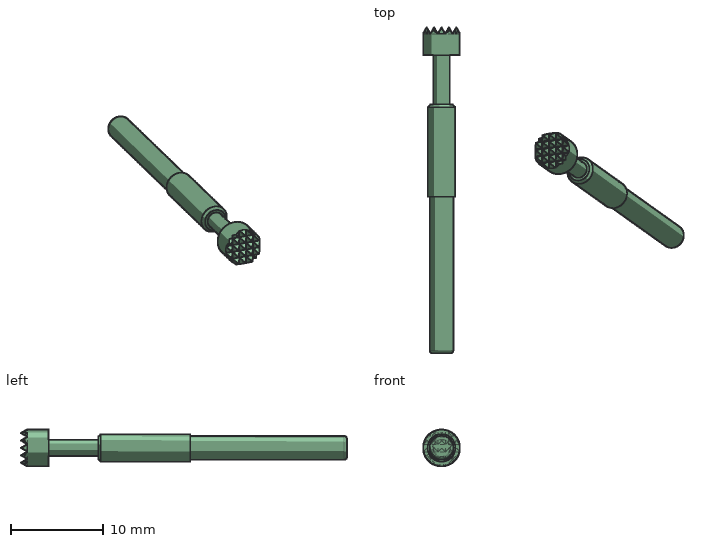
import cadquery as cq
import math


tail_diameter = 2.6
tail_length = 16.95
tail_end_radius = 0.35

sleeve_diameter = 3.0
sleeve_length = 10.0
sleeve_chamfer = 0.3

plunger_diameter = 1.8
plunger_length = 5.35

head_diameter = 4.0
head_length = 3.0
tooth_pitch = 0.8
tooth_angle = 60.0
tooth_depth = tooth_pitch / 2 / math.tan(math.radians(tooth_angle / 2))

tail_end_y = -tail_length
sleeve_front_y = sleeve_length
head_rear_y = sleeve_front_y + plunger_length
head_front_y = head_rear_y + head_length


def cylinder(diameter, start_y, end_y):
    """Solid cylinder on the Y axis from start_y to end_y."""
    return (
        cq.Workplane("XZ", origin=(0, start_y, 0))
        .circle(diameter / 2)
        .extrude(start_y - end_y)
    )


def make_tail():
    """Barrel with a rounded rear end."""
    tail = cylinder(tail_diameter, tail_end_y, 0)
    return tail.faces("<Y").edges().fillet(tail_end_radius)


def make_sleeve():
    """Thicker sleeve, chamfered where the plunger comes out."""
    sleeve = cylinder(sleeve_diameter, 0, sleeve_front_y)
    return sleeve.faces(">Y").edges().chamfer(sleeve_chamfer)


def tooth_groove(offset):
    """V groove along Z at the given X offset, cut into the head's front."""
    return (
        cq.Workplane("XY")
        .moveTo(offset, head_front_y - tooth_depth)
        .lineTo(offset + tooth_pitch / 2, head_front_y)
        .lineTo(offset - tooth_pitch / 2, head_front_y)
        .close()
        .extrude(head_diameter, both=True)
    )


def make_head():
    """Head whose front is cut by crossed V grooves into pointed teeth."""
    head = cylinder(head_diameter, head_rear_y, head_front_y)
    grooves_per_side = math.ceil(head_diameter / 2 / tooth_pitch)
    for index in range(-grooves_per_side, grooves_per_side):
        groove = tooth_groove((index + 0.5) * tooth_pitch)
        head = head.cut(groove)
        head = head.cut(groove.rotate((0, 0, 0), (0, 1, 0), 90))
    return head


plunger = cylinder(plunger_diameter, sleeve_front_y, head_rear_y)
result = make_tail().union(make_sleeve()).union(plunger).union(make_head())